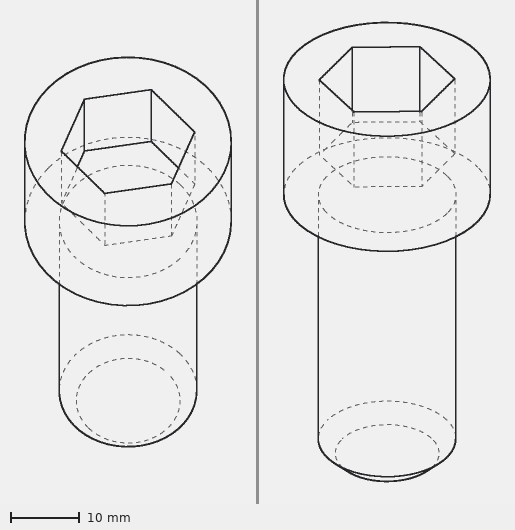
import cadquery as cq
import math

total_length = 65.0
shank_diameter = 20.0
head_diameter = 30.0
head_height = shank_diameter
shank_length = total_length - head_height
tip_chamfer = 2.5
hex_across_flats = 17.0
hex_across_corners = hex_across_flats / math.cos(math.pi / 6)
socket_depth = 13.0


def make_head():
    return cq.Workplane("XY").circle(head_diameter / 2).extrude(head_height)


def make_shank():
    shank = cq.Workplane("XY").circle(shank_diameter / 2).extrude(-shank_length)
    return shank.faces("<Z").chamfer(tip_chamfer)


def make_socket():
    """Hexagonal key socket with two corners on the X axis."""
    top = cq.Workplane("XY").workplane(offset=head_height)
    return top.polygon(6, hex_across_corners).extrude(-socket_depth)


result = make_head().union(make_shank()).cut(make_socket())